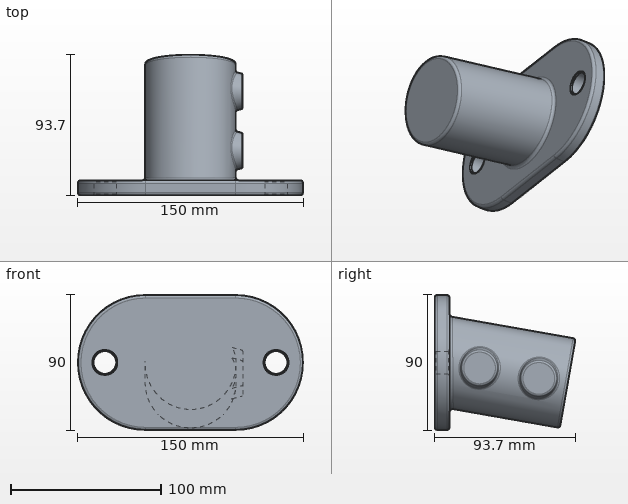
import cadquery as cq

plate_length = 150.0
plate_height = 90.0
plate_thickness = 10.0
plate_edge_radius = 2.0

hole_spacing = 114.0
hole_diameter = 15.0
hole_chamfer = 0.9

post_diameter = 60.6
post_length = 80.0
post_tilt = 10.0
post_end_radius = 2.0
post_root_radius = 2.0

boss_reach = 34.8
first_boss_distance = 20.1
boss_spacing = 40.0
boss_count = 2
boss_tip_diameter = 23.4
boss_taper = 15.0
boss_edge_radius = 1.5
boss_root_radius = 1.2


def make_plate():
    plate = (
        cq.Workplane("XZ")
        .slot2D(plate_length, plate_height)
        .extrude(-plate_thickness)
    )
    return plate.faces("<Y or >Y").edges().fillet(plate_edge_radius)


def make_post():
    buried_length = post_diameter / 2
    start_plane = cq.Plane(origin=(0, -buried_length, 0), xDir=(0, 0, 1), normal=(0, 1, 0))
    post = (
        cq.Workplane(start_plane)
        .circle(post_diameter / 2)
        .extrude(post_length + buried_length)
    )
    return post.faces(">Y").edges().fillet(post_end_radius)


def make_boss(distance):
    boss_depth = boss_reach / 2
    boss = (
        cq.Workplane("YZ", origin=(boss_reach, distance, 0))
        .circle(boss_tip_diameter / 2)
        .extrude(-boss_depth, taper=-boss_taper)
    )
    return boss.faces(">X").edges().fillet(boss_edge_radius)


def boss_root_edges(body):
    foot_inner_x = post_diameter / 3
    foot_outer_x = (post_diameter / 2 + boss_reach - boss_edge_radius) / 2
    slab = cq.selectors.BoxSelector(
        (foot_inner_x, 0, -post_diameter / 2),
        (foot_outer_x, post_length, post_diameter / 2),
        boundingbox=True,
    )
    return body.edges(slab)


def make_post_with_bosses():
    body = make_post()
    for index in range(boss_count):
        body = body.union(make_boss(first_boss_distance + index * boss_spacing))
    body = boss_root_edges(body).fillet(boss_root_radius)
    body = body.rotate((0, 0, 0), (1, 0, 0), -post_tilt).translate((0, plate_thickness, 0))
    trim_depth = 2 * post_diameter
    trim_block = (
        cq.Workplane("XZ", origin=(0, plate_thickness, 0))
        .rect(plate_length, plate_length)
        .extrude(trim_depth)
    )
    return body.cut(trim_block)


def round_post_root(body):
    back_face = body.faces("|Y").faces(">Y")
    root_edges = back_face.val().innerWires()[0].Edges()
    return body.newObject(root_edges).fillet(post_root_radius)


def cut_mounting_holes(body):
    hole_profile = [
        (0, 0),
        (hole_diameter / 2 + hole_chamfer, 0),
        (hole_diameter / 2, hole_chamfer),
        (hole_diameter / 2, plate_thickness - hole_chamfer),
        (hole_diameter / 2 + hole_chamfer, plate_thickness),
        (0, plate_thickness),
    ]
    cutter = cq.Workplane("XY").polyline(hole_profile).close().revolve(360, (0, 0, 0), (0, 1, 0))
    for hole_x in (-hole_spacing / 2, hole_spacing / 2):
        body = body.cut(cutter.translate((hole_x, 0, 0)))
    return body


flange = make_plate().union(make_post_with_bosses())
result = cut_mounting_holes(round_post_root(flange))